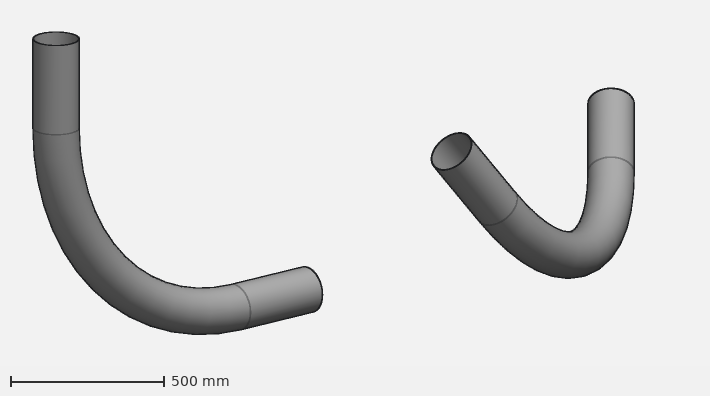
import cadquery as cq

overall_length = 1143.0
leg_diameters = 2.0
bend_diameters = 5.0
inner_diameter = 146.0

outer_diameter = overall_length / (leg_diameters + bend_diameters + 0.5)
leg_length = leg_diameters * outer_diameter
bend_radius = bend_diameters * outer_diameter


def pipe_section(plane):
    """Ring-shaped cross-section of the pipe, drawn on the given plane."""
    return plane.circle(outer_diameter / 2).circle(inner_diameter / 2)


upright_leg = pipe_section(cq.Workplane("XY")).extrude(leg_length)

bend = pipe_section(cq.Workplane("XY")).revolve(
    90, (0, bend_radius, 0), (1, bend_radius, 0)
)

bend_end = cq.Workplane("XZ", origin=(0, bend_radius, -bend_radius))
level_leg = pipe_section(bend_end).extrude(-leg_length)

result = upright_leg.union(bend).union(level_leg)